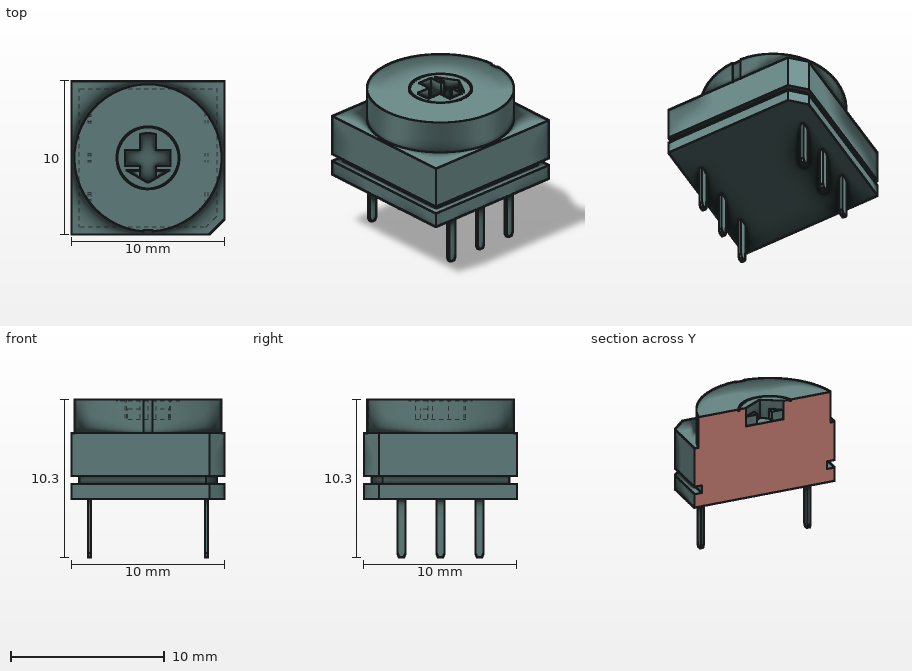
import cadquery as cq
import math

housing_side = 10.0
housing_corner_cut = 1.0
plate_height = 1.0
neck_height = 0.5
neck_inset = 0.5
body_height = 2.8

dial_diameter = 9.6
dial_height = 2.2
dial_notch_width = 0.61
dial_notch_depth = 0.1

rotor_diameter = 4.0
rotor_hole_diameter = 4.1
ring_gap_depth = 0.1
socket_depth = 1.32
socket_arm_width = 1.05
socket_cross_length = 2.97
socket_reach = 1.62
arrow_half_width = 1.41
arrow_slope = math.radians(30)
arrow_depth = 0.64
arrow_slit_width = 0.05

pin_length = 3.79
pin_width = 0.55
pin_thickness = 0.22
pin_tip_width = 0.32
pin_tip_height = 0.27
pin_pitch = 2.54
pins_per_row = 3
pin_row_spacing = 7.62

plate_bottom = pin_length
neck_bottom = plate_bottom + plate_height
body_bottom = neck_bottom + neck_height
dial_bottom = body_bottom + body_height
dial_top = dial_bottom + dial_height


def housing_layer(bottom, height, inset=0):
    """Square layer with one corner cut off, inset equally on every side."""
    half = housing_side / 2
    outline = [
        (-half, -half),
        (half - housing_corner_cut, -half),
        (half, -half + housing_corner_cut),
        (half, half),
        (-half, half),
    ]
    layer = cq.Workplane("XY").workplane(offset=bottom).polyline(outline).close()
    if inset:
        layer = layer.offset2D(-inset)
    return layer.extrude(height)


def dial():
    """Round dial with a narrow index notch down its -Y side."""
    disc = cq.Workplane("XY").workplane(offset=dial_bottom).circle(dial_diameter / 2).extrude(dial_height)
    notch = (
        cq.Workplane("XY")
        .workplane(offset=dial_bottom)
        .center(0, -dial_diameter / 2)
        .rect(dial_notch_width, 2 * dial_notch_depth)
        .extrude(dial_height)
    )
    return disc.cut(notch)


def ring_gap():
    """Thin annular gap between the rotor and the dial."""
    return (
        cq.Workplane("XY")
        .workplane(offset=dial_top - ring_gap_depth)
        .circle(rotor_hole_diameter / 2)
        .circle(rotor_diameter / 2)
        .extrude(ring_gap_depth)
    )


def socket():
    """Cross-shaped socket, rounded at +Y, with a shallower arrowhead pointing to -Y.

    A narrow slit along the base of the arrowhead runs down to the cross floor.
    """
    arrow_base = -socket_reach + arrow_half_width * math.tan(arrow_slope)
    half_arm = socket_arm_width / 2
    arm_tip = -socket_reach + half_arm * math.tan(arrow_slope)
    slit_half_width = arrow_half_width - arrow_slit_width / math.tan(arrow_slope)
    arm_shoulder = math.sqrt(socket_reach**2 - half_arm**2)

    floor = cq.Workplane("XY").workplane(offset=dial_top - socket_depth)
    long_arm = (
        floor.moveTo(half_arm, arm_shoulder)
        .threePointArc((0, socket_reach), (-half_arm, arm_shoulder))
        .lineTo(-half_arm, arm_tip)
        .lineTo(0, -socket_reach)
        .lineTo(half_arm, arm_tip)
        .close()
        .extrude(socket_depth)
    )
    cross_arm = floor.rect(socket_cross_length, socket_arm_width).extrude(socket_depth)
    arrowhead = (
        cq.Workplane("XY")
        .workplane(offset=dial_top - arrow_depth)
        .polyline([(-arrow_half_width, arrow_base), (0, -socket_reach), (arrow_half_width, arrow_base)])
        .close()
        .extrude(arrow_depth)
    )
    slit = (
        floor.moveTo(-arrow_half_width, arrow_base)
        .lineTo(arrow_half_width, arrow_base)
        .lineTo(slit_half_width, arrow_base - arrow_slit_width)
        .lineTo(-slit_half_width, arrow_base - arrow_slit_width)
        .close()
        .extrude(socket_depth)
    )
    return long_arm.union(cross_arm).union(arrowhead).union(slit)


def pin(x, y):
    """Flat pin whose width tapers at the tip."""
    outline = [
        (-pin_tip_width / 2, 0),
        (pin_tip_width / 2, 0),
        (pin_width / 2, pin_tip_height),
        (pin_width / 2, pin_length),
        (-pin_width / 2, pin_length),
        (-pin_width / 2, pin_tip_height),
    ]
    blade = cq.Workplane("YZ").polyline(outline).close().extrude(pin_thickness / 2, both=True)
    return blade.translate((x, y, 0))


result = (
    housing_layer(plate_bottom, plate_height)
    .union(housing_layer(neck_bottom, neck_height, neck_inset))
    .union(housing_layer(body_bottom, body_height))
    .union(dial())
    .cut(ring_gap())
    .cut(socket())
)

for row_x in (-pin_row_spacing / 2, pin_row_spacing / 2):
    for index in range(pins_per_row):
        pin_y = (index - (pins_per_row - 1) / 2) * pin_pitch
        result = result.union(pin(row_x, pin_y))